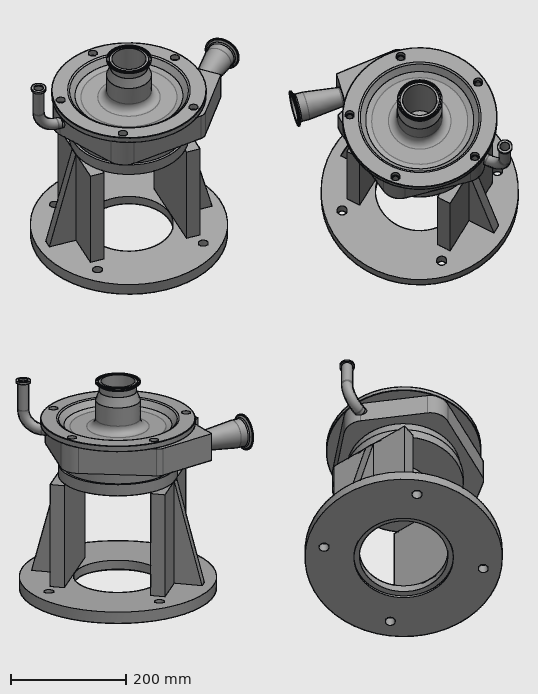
import cadquery as cq
import math

overall_length = 411

base_diameter = 343.0
base_thickness = 21.5
base_opening_radius = 77.0
base_recess_radius = 86.5
base_recess_depth = 5.0
base_hole_radius = 8.5
base_hole_offset = 99.0

stand_top = 211.3
plate_width = 151.0
plate_inner_y = 77.3
plate_outer_y = 102.8
gusset_thickness = 17.0
gusset_foot_y = 152.5

lower_ring_radius = 103.5
lower_ring_top = 232.2
upper_ring_radius = 99.0
boss_radius = 39.5
boss_bottom = 200.0

casing_bottom = 255.5
casing_top = 305.5
casing_middle = (casing_bottom + casing_top) / 2
casing_apothem = 115.0
casing_sides = 5
first_corner_angle = 45
side_angle = 360 / casing_sides
casing_corner_radius = casing_apothem / math.cos(math.radians(side_angle / 2))
casing_corner_round = 34.0
wedge_corner_round = 16.5
outlet_angle = 135
wedge_reach = 124.5
tongue_radius = 142.2
tongue_angle = 115.5
tongue_length = 14.0

lid_radius = 134.5
lid_top = 316.0
lid_edge_chamfer = 1.0
dish_floor = 301.0
dish_rim_radius = 106.5
dish_wall_radius = 103.0
dish_rim_drop = 1.5
dish_wall_foot_radius = 93.7
dish_wall_foot_rise = 3.3
dish_floor_radius = 83.5

screw_circle_radius = 121.5
screw_clearance_radius = 8.0
screw_thread_radius = 5.8
screw_thread_bottom = 279.5
drill_tip_height = 3.3

neck_radius = 39.0
neck_cylinder_top = 350.2
neck_foot_round = 15.2
inlet_radius = 32.5
inlet_cone_top = 367.0
inlet_top = 385.0
inlet_bore_radius = 29.5
inlet_flange_radius = 39.0
inlet_bore_bottom = casing_middle

clamp_rim = 2.0
clamp_thickness = 4.5
clamp_flare_length = 2.5
clamp_flare = 1.5
clamp_groove_width = 2.5
clamp_groove_depth = 1.2

drain_radius = 10.0
drain_bore_radius = 8.2
drain_y = -169.5
drain_height = 282.5
drain_bend_radius = 34.5
drain_top = 371.0
drain_flange_radius = 12.7
drain_flange_thickness = 4.0
drain_start_y = -119.2
drain_bore_start_y = -127.5

outlet_cone_end = 180.0
outlet_radius = 24.5
outlet_root_radius = 17.3
outlet_wall = 2.5
outlet_flange_radius = 31.5
outlet_stub_length = 2.5
outlet_side_offset = 91.3

outlet_rim_y = overall_length + drain_y - drain_flange_radius
outlet_tilt = math.radians(outlet_angle - 90)
outlet_end = outlet_rim_y / math.cos(outlet_tilt) - outlet_side_offset - outlet_flange_radius


def cylinder(radius, bottom, top):
    return cq.Workplane("XY").workplane(offset=bottom).circle(radius).extrude(top - bottom)


def revolve_z(points):
    """Revolve a closed (radius, height) outline about the Z axis."""
    return cq.Workplane("XZ").polyline(points).close().revolve(360, (0, 0), (0, 1))


def polar(radius, angle):
    return (radius * math.cos(math.radians(angle)), radius * math.sin(math.radians(angle)))


def clamp_outline(radius, flange_radius, end):
    """Outer outline of a clamp flange, from its tapered underside to its end face."""
    return [
        (radius, end - clamp_thickness - clamp_flare_length),
        (radius + clamp_flare, end - clamp_thickness),
        (flange_radius, end - clamp_rim),
        (flange_radius, end),
        (0, end),
    ]


def clamp_groove(flange_radius, end):
    """Seal groove cut into the end face of a clamp flange."""
    outer = flange_radius - clamp_groove_width
    inner = outer - clamp_groove_width
    bottom = end - clamp_groove_depth
    return cylinder(outer, bottom, end).cut(cylinder(inner, bottom, end))


def make_base():
    base = cylinder(base_diameter / 2, 0, base_thickness)
    base = base.cut(cylinder(base_opening_radius, 0, base_thickness))
    base = base.cut(cylinder(base_recess_radius, 0, base_recess_depth))
    holes = (
        cq.Workplane("XY")
        .rect(2 * base_hole_offset, 2 * base_hole_offset, forConstruction=True)
        .vertices()
        .circle(base_hole_radius)
        .extrude(base_thickness)
    )
    return base.cut(holes)


def make_support():
    plate = cq.Workplane("XY").box(
        plate_width,
        plate_outer_y - plate_inner_y,
        stand_top - base_thickness,
        centered=(True, False, False),
    )
    plate = plate.translate((0, plate_inner_y, base_thickness))
    gusset = (
        cq.Workplane("YZ")
        .polyline([
            (plate_inner_y, base_thickness),
            (gusset_foot_y, base_thickness),
            (plate_outer_y, stand_top),
            (plate_inner_y, stand_top),
        ])
        .close()
        .extrude(gusset_thickness / 2, both=True)
    )
    return plate.union(gusset)


def make_casing():
    corner_angles = [first_corner_angle + side_angle * i for i in range(casing_sides)]
    corners = [polar(casing_corner_radius, angle) for angle in corner_angles]

    along_axis = polar(casing_apothem, outlet_angle)
    along_face = polar(wedge_reach, outlet_angle - 90)
    wedge_tip = (along_axis[0] + along_face[0], along_axis[1] + along_face[1])
    side_normal = first_corner_angle + side_angle / 2
    half_turn = (outlet_angle - side_normal) / 2
    face_foot_radius = casing_apothem / math.cos(math.radians(half_turn))
    face_foot = polar(face_foot_radius, side_normal + half_turn)

    tongue_tip = polar(tongue_radius, tongue_angle)
    side_fraction = tongue_length / math.dist(corners[1], corners[2])
    tongue_start = tuple(a + (b - a) * side_fraction for a, b in zip(corners[1], corners[2]))

    outline = cq.Workplane("XY").workplane(offset=casing_bottom).moveTo(*corners[2])
    outline = outline.lineTo(*tongue_start).tangentArcPoint(tongue_tip, relative=False)
    for point in [face_foot, wedge_tip, corners[0]] + corners[:2:-1]:
        outline = outline.lineTo(*point)
    casing = outline.close().extrude(casing_top - casing_bottom)

    roundings = [(corners[0], wedge_corner_round)]
    roundings += [(corner, casing_corner_round) for corner in corners[2:]]
    for (x, y), rounding in roundings:
        edge = cq.NearestToPointSelector((x, y, casing_middle))
        casing = casing.edges(edge).fillet(rounding)
    return casing


def make_lid():
    return cylinder(lid_radius, casing_top, lid_top).edges().chamfer(lid_edge_chamfer)


def make_dish():
    return revolve_z([
        (0, dish_floor),
        (dish_floor_radius, dish_floor),
        (dish_wall_foot_radius, dish_floor + dish_wall_foot_rise),
        (dish_wall_radius, lid_top - dish_rim_drop),
        (dish_rim_radius, lid_top),
        (0, lid_top),
    ])


def make_neck():
    foot_radius = neck_radius + neck_foot_round
    foot_top = dish_floor + neck_foot_round
    arc_reach = neck_foot_round * (1 - math.sqrt(0.5))
    outline = cq.Workplane("XZ").moveTo(0, dish_floor).lineTo(foot_radius, dish_floor)
    outline = outline.threePointArc(
        (neck_radius + arc_reach, dish_floor + arc_reach), (neck_radius, foot_top)
    )
    outline = outline.lineTo(neck_radius, neck_cylinder_top).lineTo(inlet_radius, inlet_cone_top)
    for point in clamp_outline(inlet_radius, inlet_flange_radius, inlet_top):
        outline = outline.lineTo(*point)
    neck = outline.close().revolve(360, (0, 0), (0, 1))
    return neck.cut(clamp_groove(inlet_flange_radius, inlet_top))


def make_screw_hole():
    return revolve_z([
        (0, lid_top),
        (screw_clearance_radius, lid_top),
        (screw_clearance_radius, casing_top),
        (screw_thread_radius, casing_top),
        (screw_thread_radius, screw_thread_bottom),
        (0, screw_thread_bottom - drill_tip_height),
    ])


def make_outlet():
    stub_end = casing_apothem + outlet_stub_length
    nozzle = revolve_z(
        [(0, casing_apothem), (outlet_root_radius, casing_apothem), (outlet_root_radius, stub_end)]
        + [(outlet_radius, outlet_cone_end)]
        + clamp_outline(outlet_radius, outlet_flange_radius, outlet_end)
    )
    bore = revolve_z([
        (0, casing_apothem),
        (outlet_root_radius - outlet_wall, casing_apothem),
        (outlet_radius - outlet_wall, outlet_cone_end),
        (outlet_radius - outlet_wall, outlet_end),
        (0, outlet_end),
    ])
    nozzle = nozzle.cut(bore).cut(clamp_groove(outlet_flange_radius, outlet_end))
    nozzle = nozzle.rotate((0, 0, 0), (1, 0, 0), -90)
    nozzle = nozzle.translate((outlet_side_offset, 0, casing_middle))
    return nozzle.rotate((0, 0, 0), (0, 0, 1), outlet_angle - 90)


def make_drain_rod(radius, start_y):
    """Round rod along the drain's path: out along -Y, a quarter bend, then straight up."""
    bend_start_y = drain_y + drain_bend_radius
    bend_end_z = drain_height + drain_bend_radius
    bend_reach = drain_bend_radius * (1 - math.sqrt(0.5))
    path = (
        cq.Workplane("YZ")
        .moveTo(start_y, drain_height)
        .lineTo(bend_start_y, drain_height)
        .threePointArc((drain_y + bend_reach, drain_height + bend_reach), (drain_y, bend_end_z))
        .lineTo(drain_y, drain_top)
    )
    start = cq.Workplane("XZ", origin=(0, start_y, drain_height))
    return start.circle(radius).sweep(path)


def make_drain_flange():
    flange = cylinder(drain_flange_radius, drain_top - drain_flange_thickness, drain_top)
    return flange.translate((0, drain_y, 0))


support = make_support()
result = (
    make_base()
    .union(support)
    .union(support.mirror("XZ"))
    .union(cylinder(boss_radius, boss_bottom, stand_top))
    .union(cylinder(lower_ring_radius, stand_top, lower_ring_top))
    .union(cylinder(upper_ring_radius, lower_ring_top, casing_bottom))
    .union(make_casing())
    .union(make_lid())
    .cut(make_dish())
    .union(make_neck())
    .cut(cylinder(inlet_bore_radius, inlet_bore_bottom, inlet_top))
    .union(make_outlet())
    .union(make_drain_rod(drain_radius, drain_start_y))
    .union(make_drain_flange())
    .cut(make_drain_rod(drain_bore_radius, drain_bore_start_y))
)

screw_hole = make_screw_hole().translate((screw_circle_radius, 0, 0))
for i in range(casing_sides):
    corner_angle = first_corner_angle + side_angle * i
    result = result.cut(screw_hole.rotate((0, 0, 0), (0, 0, 1), corner_angle))